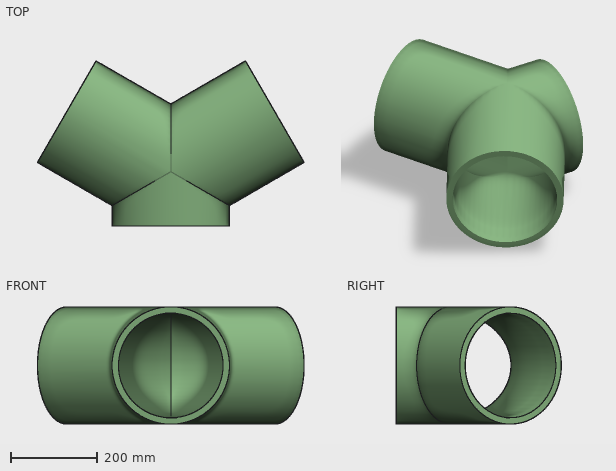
import cadquery as cq
import math

overall_width = 620.5
outer_diameter = 273.0
bore_diameter = 243.0
stem_length = 126.5
arm_angle = 30.0
stem_angle = -90.0

arm_rise = math.radians(arm_angle)
corner_reach = outer_diameter / 2 * math.sin(arm_rise)
arm_length = (overall_width / 2 - corner_reach) / math.cos(arm_rise)

branches = [
    (stem_angle, stem_length),
    (arm_angle, arm_length),
    (180 - arm_angle, arm_length),
]


def joined_cylinders(diameter):
    """Union of one cylinder per branch, each running outward from the origin."""
    body = cq.Workplane("XY")
    for angle, length in branches:
        cylinder = (
            cq.Workplane("YZ")
            .circle(diameter / 2)
            .extrude(length)
            .rotate((0, 0, 0), (0, 0, 1), angle)
        )
        body = body.union(cylinder)
    return body


result = joined_cylinders(outer_diameter).cut(joined_cylinders(bore_diameter))